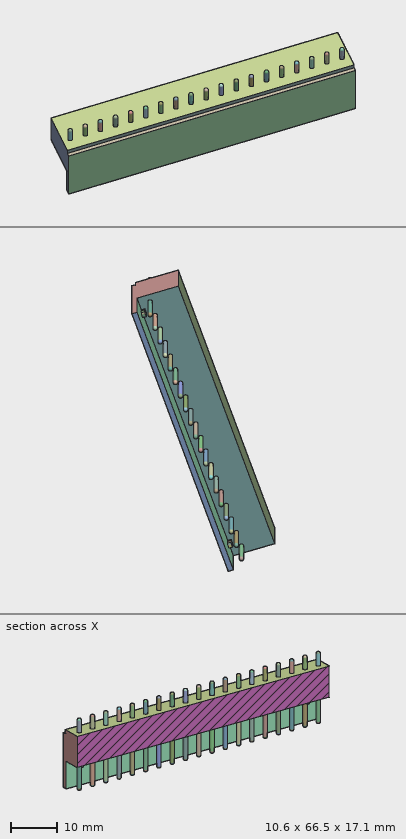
import cadquery as cq

pin_count = 19
pitch = 3.5
pin_diameter = 1.0
pin_length = 17.0
pin_bottom = 0.15

depth = 10.6
length = pin_count * pitch
block_height = 7.4
wall_thickness = 1.2
wall_drop = 6.5
step_depth = 0.8
step_height = 1.0
pin_to_front = 7.0

peg_width = 1.0
peg_height = 2.0
peg_thickness = 0.8
peg_corner_radius = 0.2
bulge_diameter = 1.3
bulge_drop = 0.9

front_x = -pin_to_front
rear_x = front_x + depth
wall_x = rear_x - wall_thickness
block_bottom = wall_drop
block_top = block_bottom + block_height
first_pin_y = -(pin_count - 1) * pitch / 2


def make_housing():
    """Block, hanging wall and stepped top rear edge as one extruded profile."""
    profile = [
        (front_x, block_bottom),
        (wall_x, block_bottom),
        (wall_x, 0),
        (rear_x, 0),
        (rear_x, block_top - step_height),
        (rear_x - step_depth, block_top - step_height),
        (rear_x - step_depth, block_top),
        (front_x, block_top),
    ]
    return cq.Workplane("XZ").polyline(profile).close().extrude(length / 2, both=True)


def make_pin(y):
    """Round pin through the block with a hemispherical dome on both ends."""
    radius = pin_diameter / 2
    pin_top = pin_bottom + pin_length
    half_profile = (
        cq.Workplane("YZ", origin=(0, y, 0))
        .moveTo(0, pin_bottom)
        .radiusArc((-radius, pin_bottom + radius), radius)
        .lineTo(-radius, pin_top - radius)
        .radiusArc((0, pin_top), radius)
        .close()
    )
    return half_profile.revolve(360, (0, 0, 0), (0, 1, 0))


def make_peg(y):
    """Flat peg with rounded lower corners and a round bulge on both sides."""
    peg_face = cq.Workplane("YZ", origin=(wall_x - peg_thickness, y, block_bottom))
    shank = (
        peg_face.center(0, -peg_height / 2)
        .rect(peg_width, peg_height)
        .extrude(peg_thickness)
        .edges("|X and <Z")
        .fillet(peg_corner_radius)
    )
    bulge = peg_face.center(0, -bulge_drop).circle(bulge_diameter / 2).extrude(peg_thickness)
    return shank.union(bulge)


result = make_housing()
for index in range(pin_count):
    result = result.union(make_pin(first_pin_y + index * pitch))

peg_y = -first_pin_y - pitch / 2
for y in (-peg_y, peg_y):
    result = result.union(make_peg(y))